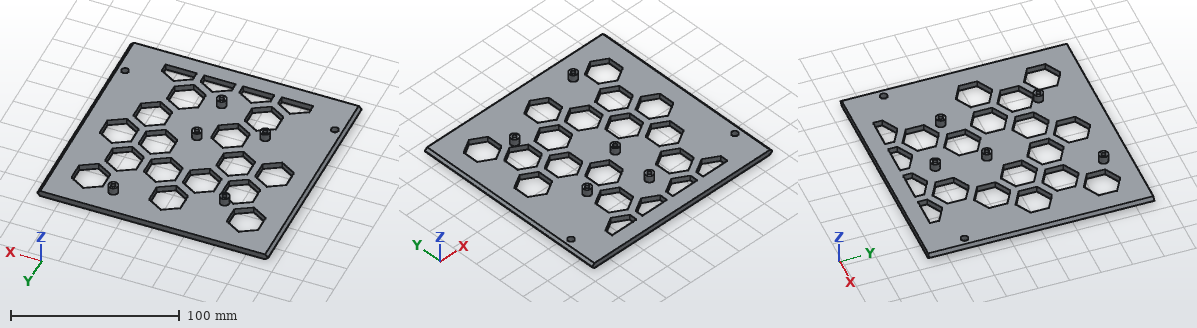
import cadquery as cq
import math

plate_width = 148.6
plate_length = 142.8
plate_thickness = 4.0
edge_run = plate_thickness / 2

hex_flats = 20.0
hex_pitch = 25.0
row_pitch = hex_pitch * math.sqrt(3) / 2
top_row_y = 47.3
hex_rows = [
    [-2, 0, 2],
    [-1.5, -0.5, 0.5, 1.5],
    [-2, -1, 1, 2],
    [-0.5, 1.5],
    [-1, 1],
    [-1.5, -0.5, 0.5, 1.5],
]
bottom_row_y = top_row_y - (len(hex_rows) - 1) * row_pitch

standoff_diameter = 6.0
standoff_height = 5.0
bore_diameter = 2.8
standoff_centres = [
    (32.2, 55.0),
    (-32.2, 38.2),
    (5.3, -8.8),
    (-32.2, -23.8),
    (2.8, -40.5),
]

mount_hole_diameter = 4.6
mount_hole_x = 67.5
mount_hole_y = -46.5


def bevelled_plate():
    """Flat plate whose two X edges come to a ridge."""
    half_width = plate_width / 2
    flat_half_width = half_width - edge_run
    profile = [
        (-flat_half_width, 0),
        (flat_half_width, 0),
        (half_width, plate_thickness / 2),
        (flat_half_width, plate_thickness),
        (-flat_half_width, plate_thickness),
        (-half_width, plate_thickness / 2),
    ]
    return cq.Workplane("XZ").polyline(profile).close().extrude(plate_length / 2, both=True)


def hex_openings():
    """Honeycomb cutters; the bottom row keeps only its upper halves."""
    corner_radius = hex_flats / math.sqrt(3)
    corner_angles = [math.radians(30 + 60 * corner) for corner in range(6)]
    hexagon = [
        (corner_radius * math.cos(angle), corner_radius * math.sin(angle))
        for angle in corner_angles
    ]
    centres = [
        (column * hex_pitch, top_row_y - row * row_pitch)
        for row, columns in enumerate(hex_rows)
        for column in columns
    ]
    cutter = cq.Workplane("XY").polyline(hexagon).close().extrude(plate_thickness).val()
    cutters = cq.Workplane("XY").pushPoints(centres).eachpoint(cutter)
    honeycomb_zone = cq.Workplane("XY", origin=(0, bottom_row_y, 0)).box(
        plate_width, plate_length, plate_thickness, centered=(True, False, False)
    )
    return cutters.intersect(honeycomb_zone)


def standoffs():
    """Tubular standoffs standing on the top face."""
    return (
        cq.Workplane("XY", origin=(0, 0, plate_thickness))
        .pushPoints(standoff_centres)
        .circle(standoff_diameter / 2)
        .circle(bore_diameter / 2)
        .extrude(standoff_height)
    )


def mount_holes():
    """Cutters for the pair of mounting holes."""
    return (
        cq.Workplane("XY")
        .pushPoints([(-mount_hole_x, mount_hole_y), (mount_hole_x, mount_hole_y)])
        .circle(mount_hole_diameter / 2)
        .extrude(plate_thickness)
    )


result = bevelled_plate().cut(hex_openings()).cut(mount_holes()).union(standoffs())